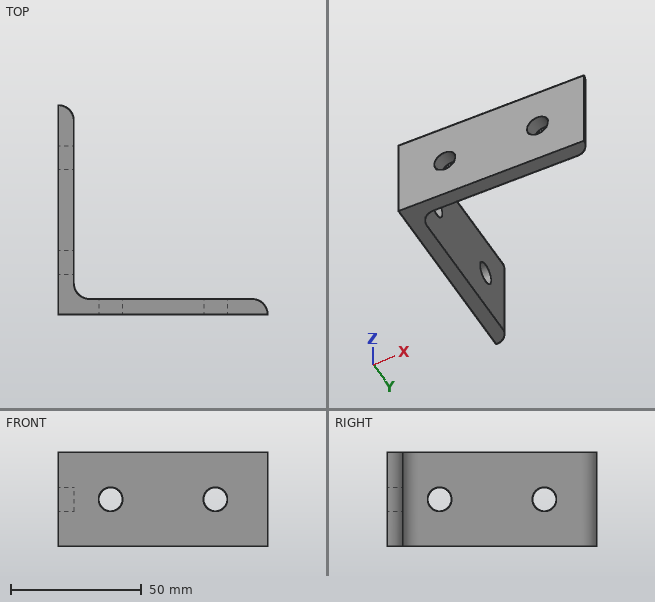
import cadquery as cq

leg_length = 80.0
height = 36.0
thickness = 6.0
root_radius = 6.0
toe_radius = thickness
hole_diameter = 9.0
hole_positions = (leg_length / 4, 3 * leg_length / 4)


def angle_profile():
    """L section with rounded toes on the inner side of each leg."""
    toe_start = leg_length - toe_radius
    return (
        cq.Workplane("XY")
        .lineTo(leg_length, 0)
        .radiusArc((toe_start, thickness), -toe_radius)
        .lineTo(thickness + root_radius, thickness)
        .radiusArc((thickness, thickness + root_radius), root_radius)
        .lineTo(thickness, toe_start)
        .radiusArc((0, leg_length), -toe_radius)
        .close()
    )


def leg_holes(plane, depth):
    """Cutters for one leg, a pair of holes at mid-height."""
    centers = [(position, height / 2) for position in hole_positions]
    return cq.Workplane(plane).pushPoints(centers).circle(hole_diameter / 2).extrude(depth)


bracket = angle_profile().extrude(height)
bracket = bracket.cut(leg_holes("XZ", -thickness))
result = bracket.cut(leg_holes("YZ", thickness))